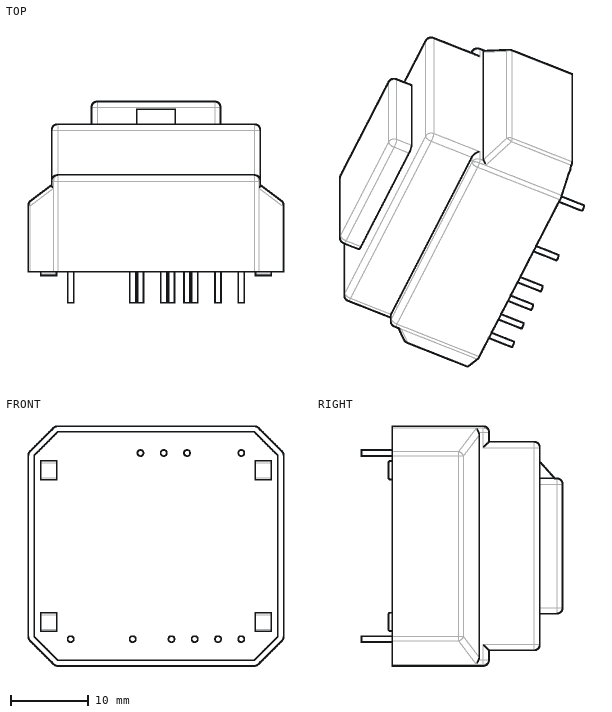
import cadquery as cq


width = 33.0
height = 31.0
housing_depth = 12.5
corner_chamfer = 3.5
shoulder_start = 8.95
shoulder_end = 11.22
edge_radius = 0.8
foot_margin = 0.03

block_size = 26.95
block_back = 19.07

boss_width = 16.7
boss_height = 17.5
boss_back = 22.0

wedge_width = 4.95
wedge_rise = 1.9
wedge_reach = 2.15

rim_width = 0.75
recess_depth = 0.2

pad_width = 2.05
pad_height = 2.4
pad_stand_off = 0.5
pad_radius = 0.25
pad_spacing_x = 27.72
pad_spacing_z = 19.57

pin_diameter = 0.8
pin_length = 4.0
pin_row_z = 12.0
pin_row_steps = 12
pin_pitch = pin_row_z / pin_row_steps
top_pin_steps = (-2, 1, 4, 11)
bottom_pin_steps = (-11, -3, 2, 5, 8, 11)


def box_along_y(size_x, size_z, y_start, y_end):
    """Box centred on the Y axis between two Y positions."""
    depth = y_end - y_start
    return cq.Workplane("XY").box(size_x, depth, size_z).translate((0, y_start + depth / 2, 0))


def rounded_step(size_x, size_z, y_end):
    """Block from the open face to y_end with its long edges and back rim rounded."""
    return box_along_y(size_x, size_z, 0, y_end).edges("|Y or >Y").fillet(edge_radius)


def lower_housing():
    """Chamfered housing whose sides slope in to the width of the block."""
    profile = (
        cq.Workplane("XY")
        .moveTo(-width / 2, 0)
        .lineTo(-width / 2, shoulder_start)
        .lineTo(-block_size / 2, shoulder_end)
        .lineTo(-block_size / 2, housing_depth)
        .lineTo(block_size / 2, housing_depth)
        .lineTo(block_size / 2, shoulder_end)
        .lineTo(width / 2, shoulder_start)
        .lineTo(width / 2, 0)
        .close()
        .extrude(height / 2, both=True)
    )
    chamfered = box_along_y(width, height, 0, housing_depth).edges("|Y").chamfer(corner_chamfer)
    housing = profile.intersect(chamfered)
    front_edges = cq.StringSyntaxSelector("<Y")
    shoulder_feet = cq.selectors.BoxSelector(
        (-width, shoulder_end - foot_margin, -height),
        (width, shoulder_end + foot_margin, height),
    )
    return housing.edges(-(front_edges + shoulder_feet)).fillet(edge_radius)


def wedge():
    """Triangular wedge sloping from the boss top down to the block's back face."""
    boss_top = boss_height / 2
    return (
        cq.Workplane("YZ")
        .moveTo(block_back, boss_top + wedge_reach)
        .lineTo(block_back + wedge_rise, boss_top)
        .lineTo(block_back + wedge_rise, 0)
        .lineTo(block_back, 0)
        .close()
        .extrude(wedge_width / 2, both=True)
    )


def recess():
    """Pocket that follows the chamfered outline at a constant rim width."""
    inner_chamfer = corner_chamfer - (2 - 2**0.5) * rim_width
    return (
        box_along_y(width - 2 * rim_width, height - 2 * rim_width, 0, recess_depth)
        .edges("|Y")
        .chamfer(inner_chamfer)
    )


def pads():
    """Four stand-off pads on the recess floor, rounded on their upper and lower tip edges."""
    pad = box_along_y(pad_width, pad_height, -pad_stand_off, recess_depth)
    pad = pad.faces("<Y").edges("|X").fillet(pad_radius)
    all_pads = cq.Workplane("XY")
    for side_x in (-1, 1):
        for side_z in (-1, 1):
            centre = (side_x * pad_spacing_x / 2, 0, side_z * pad_spacing_z / 2)
            all_pads = all_pads.add(pad.translate(centre))
    return all_pads


def pins():
    """Two rows of round pins rising from the recess floor."""
    centres = [(step * pin_pitch, pin_row_z) for step in top_pin_steps]
    centres += [(step * pin_pitch, -pin_row_z) for step in bottom_pin_steps]
    return (
        cq.Workplane("XZ", origin=(0, recess_depth, 0))
        .pushPoints(centres)
        .circle(pin_diameter / 2)
        .extrude(pin_length + recess_depth)
    )


result = (
    lower_housing()
    .union(rounded_step(block_size, block_size, block_back))
    .union(rounded_step(boss_width, boss_height, boss_back))
    .union(wedge())
    .cut(recess())
    .union(pads().combine())
    .union(pins())
)